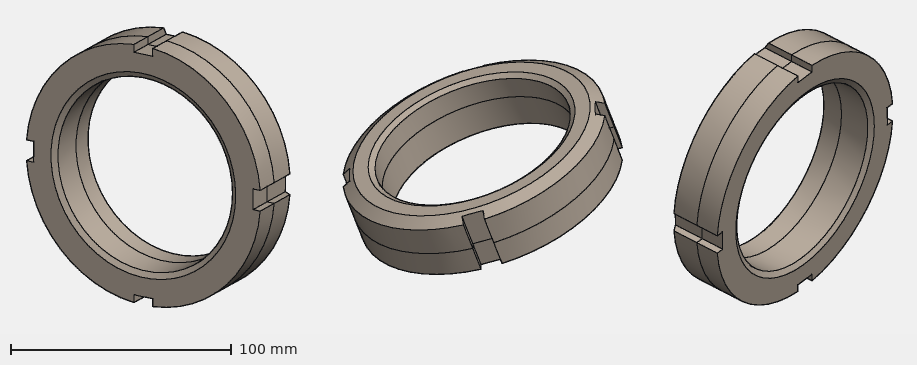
import cadquery as cq
import math

outer_radius = 62.5
bore_radius = 46.5
front_width = 12.0
rear_width = 17.0
total_width = front_width + rear_width

rear_face_radius = 56.5
rear_chamfer_angle = 30.0
rear_chamfer_width = (outer_radius - rear_face_radius) * math.tan(math.radians(rear_chamfer_angle))

spigot_radius = 52.0
spigot_length = 5.0
spigot_end = front_width + spigot_length

countersink_radius = 49.25
countersink_angle = 30.0
countersink_depth = (countersink_radius - bore_radius) * math.tan(math.radians(countersink_angle))

slot_count = 4
slot_width = 10.0
slot_depth = 4.0
slot_overshoot = 2.0


def revolve_about_y(profile_points):
    """Turn a closed (radius, Y) profile about the Y axis."""
    profile = cq.Workplane("XY").polyline(profile_points).close()
    return profile.revolve(360, (0, 0, 0), (0, 1, 0))


def cut_spanner_slots(ring):
    """Cut the evenly spaced spanner slots through the rim."""
    slot_floor_radius = outer_radius - slot_depth
    slot = cq.Workplane("XY").box(
        slot_depth + slot_overshoot,
        total_width,
        slot_width,
        centered=(False, False, True),
    ).translate((slot_floor_radius, 0, 0))
    for index in range(slot_count):
        angle = index * 360 / slot_count
        ring = ring.cut(slot.rotate((0, 0, 0), (0, 1, 0), angle))
    return ring


def make_front_ring():
    """Front ring with a countersunk bore and a spigot at its rear."""
    ring = revolve_about_y([
        (countersink_radius, 0),
        (outer_radius, 0),
        (outer_radius, front_width),
        (spigot_radius, front_width),
        (spigot_radius, spigot_end),
        (bore_radius, spigot_end),
        (bore_radius, countersink_depth),
    ])
    return cut_spanner_slots(ring)


def make_rear_ring():
    """Rear ring with a chamfered outer edge, a countersunk bore and a recess for the spigot."""
    ring = revolve_about_y([
        (bore_radius, spigot_end),
        (spigot_radius, spigot_end),
        (spigot_radius, front_width),
        (outer_radius, front_width),
        (outer_radius, total_width - rear_chamfer_width),
        (rear_face_radius, total_width),
        (countersink_radius, total_width),
        (bore_radius, total_width - countersink_depth),
    ])
    return cut_spanner_slots(ring)


front_ring = make_front_ring()
rear_ring = make_rear_ring()

result = cq.Compound.makeCompound([front_ring.val(), rear_ring.val()])